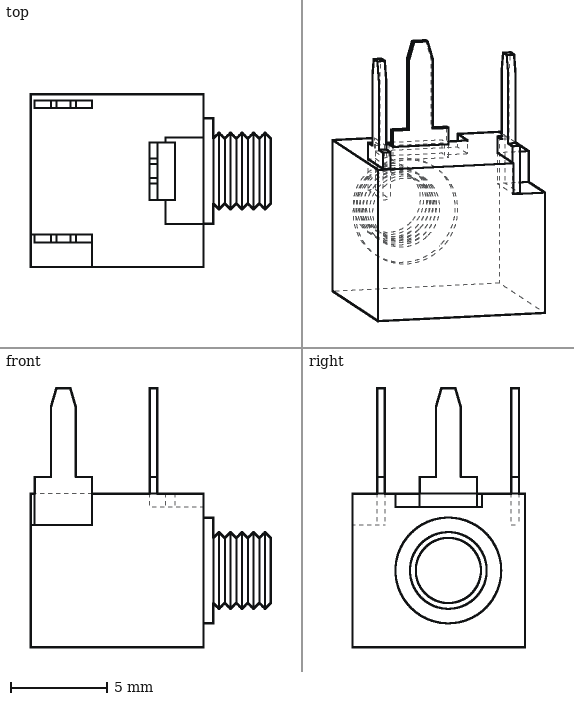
import cadquery as cq

OVERALL_LENGTH = 12.5
OVERALL_HEIGHT = 13.5
HOUSING_SIDE = 9.0
HOUSING_HEIGHT = 8.0

BARREL_Y = 0.5
BARREL_Z = HOUSING_HEIGHT / 2
COLLAR_LENGTH = 0.5
COLLAR_RADIUS = 2.75
THREAD_COUNT = 5
CREST_RADIUS = 2.0
THREAD_START = HOUSING_SIDE + COLLAR_LENGTH
THREAD_PITCH = (OVERALL_LENGTH - THREAD_START) / THREAD_COUNT
ROOT_RADIUS = CREST_RADIUS - THREAD_PITCH / 2

PIN_THICKNESS = 0.4
BASE_WIDTH = 3.0
STEM_WIDTH = 1.3
TIP_WIDTH = 0.73
TIP_LENGTH = 0.97
BASE_RISE = 0.86
SIDE_PIN_DEPTH = 1.63
SIDE_PIN_BACK_MARGIN = 0.2
NEAR_PIN_INSET = 1.3
FAR_PIN_INSET = 0.73
SIDE_PIN_X = SIDE_PIN_BACK_MARGIN + BASE_WIDTH / 2
SIDE_PIN_FRONT_FACES = (-HOUSING_SIDE / 2 + NEAR_PIN_INSET, HOUSING_SIDE / 2 - FAR_PIN_INSET)

CHANNEL_LENGTH = 2.0
CHANNEL_WIDTH = 4.5
CHANNEL_DEPTH = 0.7
ANGLED_PIN_X = 6.2
FOOT_LENGTH = 1.32


def box_at(corner, size):
    """Box given by its lowest corner and its size along X, Y and Z."""
    return cq.Workplane("XY").box(*size, centered=False).translate(corner)


def make_flat_pin(depth):
    """Tapered pin on a wide base, in the XZ plane, with Z = 0 at the housing top."""
    top = OVERALL_HEIGHT - HOUSING_HEIGHT
    right_side = [
        (BASE_WIDTH / 2, -depth),
        (BASE_WIDTH / 2, BASE_RISE),
        (STEM_WIDTH / 2, BASE_RISE),
        (STEM_WIDTH / 2, top - TIP_LENGTH),
        (TIP_WIDTH / 2, top),
    ]
    left_side = [(-x, z) for x, z in reversed(right_side)]
    outline = cq.Workplane("XZ").polyline(right_side + left_side).close()
    return outline.extrude(-PIN_THICKNESS)


def make_side_pin(front_face_y):
    """Pin that stands parallel to the housing sides."""
    return make_flat_pin(SIDE_PIN_DEPTH).translate((SIDE_PIN_X, front_face_y, HOUSING_HEIGHT))


def make_angled_pin():
    """Pin facing the barrel, with a foot flush with the housing top."""
    upright = (
        make_flat_pin(CHANNEL_DEPTH)
        .rotate((0, 0, 0), (0, 0, 1), -90)
        .translate((ANGLED_PIN_X, BARREL_Y, HOUSING_HEIGHT))
    )
    foot = box_at(
        (ANGLED_PIN_X, BARREL_Y - BASE_WIDTH / 2, HOUSING_HEIGHT - CHANNEL_DEPTH),
        (FOOT_LENGTH, BASE_WIDTH, CHANNEL_DEPTH),
    )
    return upright.union(foot)


def make_barrel():
    """Collar and ridged barrel, revolved about an axis along X."""
    profile = [
        (HOUSING_SIDE, 0),
        (HOUSING_SIDE, COLLAR_RADIUS),
        (THREAD_START, COLLAR_RADIUS),
        (THREAD_START, ROOT_RADIUS),
    ]
    for ridge in range(THREAD_COUNT):
        ridge_start = THREAD_START + ridge * THREAD_PITCH
        profile.append((ridge_start + THREAD_PITCH / 2, CREST_RADIUS))
        profile.append((ridge_start + THREAD_PITCH, ROOT_RADIUS))
    profile.append((OVERALL_LENGTH, 0))
    outline = cq.Workplane("XY").polyline(profile).close()
    return outline.revolve(360, (0, 0, 0), (1, 0, 0)).translate((0, BARREL_Y, BARREL_Z))


def make_housing(pins):
    """Block with barrel, corner recess, open channel and seats for the pins."""
    block = box_at((0, -HOUSING_SIDE / 2, 0), (HOUSING_SIDE, HOUSING_SIDE, HOUSING_HEIGHT))
    recess_length = SIDE_PIN_X + BASE_WIDTH / 2
    recess_width = NEAR_PIN_INSET + PIN_THICKNESS
    corner_recess = box_at(
        (0, -HOUSING_SIDE / 2, HOUSING_HEIGHT - SIDE_PIN_DEPTH),
        (recess_length, recess_width, SIDE_PIN_DEPTH),
    )
    channel = box_at(
        (HOUSING_SIDE - CHANNEL_LENGTH, -CHANNEL_WIDTH / 2, HOUSING_HEIGHT - CHANNEL_DEPTH),
        (CHANNEL_LENGTH, CHANNEL_WIDTH, CHANNEL_DEPTH),
    )
    body = block.union(make_barrel()).cut(corner_recess).cut(channel)
    for pin in pins:
        body = body.cut(pin)
    return body


side_pins = [make_side_pin(front_face_y) for front_face_y in SIDE_PIN_FRONT_FACES]
angled_pin = make_angled_pin()
housing = make_housing(side_pins + [angled_pin])

result = cq.Compound.makeCompound([housing.val(), *[pin.val() for pin in side_pins], angled_pin.val()])